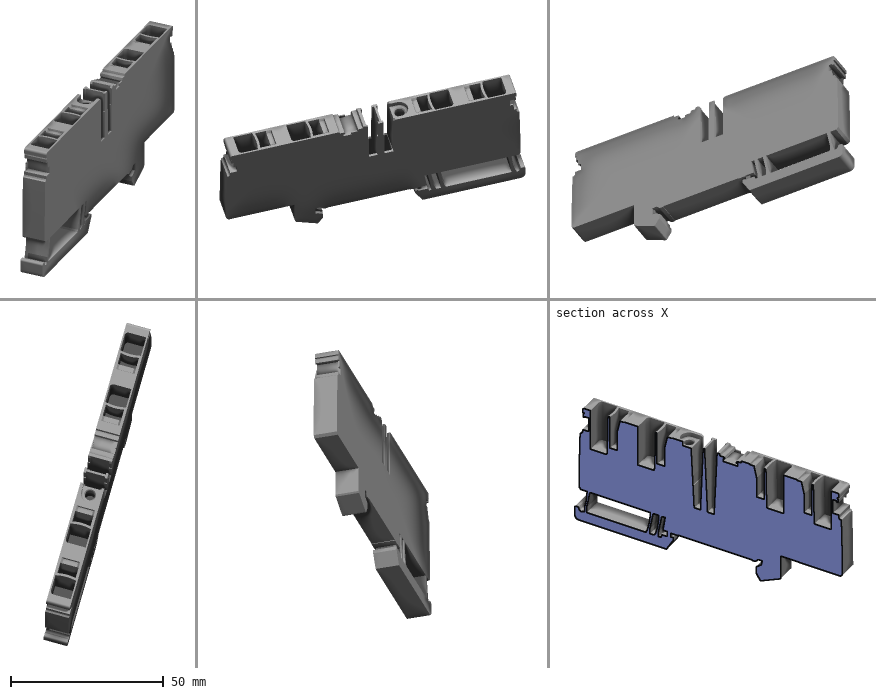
import cadquery as cq
import math


thickness = 8.0
total_length = 101.8
height = 45.2
housing_half = 50.1
foot_tip = housing_half - total_length
housing_bottom = 12.4
rail_top = 7.1
overlap = 1.0
pad_height = 0.2

neck_half = 47.5
lip_half = 48.7
corner_radius = 0.8
wall_lean = 0.4
wall_mid_lean = 0.12
wall_top = 34.9
groove_depth = 1.1
groove_bottom = 36.6
groove_step = 0.3
groove_top = 41.8
tab_thickness = 0.4

notch_center = 7.5
notch_half = 2.3
shelf_half = 4.2
shelf_depth = 0.7
notch_depth = 1.6
notch_undercut_half = 2.6
notch_undercut_depth = 2.5
notch_draft = 0.3

slot_floor = 28.9
slot_step = 38.5
slot_step_width = 0.25
slots_side = [(1.5, -1.37), (-3.71, -6.8)]
slot_core_floor = 20.4
slots_core_top = [(2.3, -2.2), (-3.0, -7.4)]
slots_core_bottom = [(1.2, -1.1), (-4.0, -6.2)]
slot_core_width = 6.4
slot_mouth = 0.6

screw_y = -10.0
seat_radius = 2.9
seat_depth = 1.6
screw_radius = 1.6
screw_chamfer = 0.36
screw_depth = 8.1

entry_pitch = 18.0
wire_outer = 45.6
wire_length = 6.4
wire_width = 7.0
wire_corner = 1.1
entry_depth = 15.3
divider_thickness = 0.8
divider_bulge = 0.4
floor_bulge = 0.05
divider_draft = 0.3
driver_length = 5.6
driver_width = 6.2
driver_floor_depth = 12.2
ledge_depth = 0.6
ledge_length = 1.8
ledge_end_slope = 0.2
ledge_side_slope = 0.6
ramp_run = 0.9
ramp_drop = 4.1

bar_top = 4.2
bar_shoulder = 5.3
web_thickness = 6.8
web_start = -15.2
web_end = -16.6
leg_roots = (-19.7, -23.0, -47.0)
leg_width = 1.2
leg_spread = 1.7
flare_width = 1.0
flare_trim_depth = 0.8
flare_top = 8.1
hook_relief = 1.0


def profile_solid(points, width=thickness, x_center=0.0):
    """Extrude a closed Y-Z outline along X."""
    plane = cq.Workplane("YZ", origin=(x_center - width / 2, 0, 0))
    return plane.polyline(points).close().extrude(width)


def block(x_range, y_range, z_range):
    """Rectangular block between the given limits."""
    limits = (x_range, y_range, z_range)
    size = [high - low for low, high in limits]
    corner = [low for low, high in limits]
    return cq.Workplane("XY").box(*size, centered=False).translate(tuple(corner))


def housing_end(side):
    """One end of the housing; side is +1 for the +Y end and -1 for the -Y end."""
    wall_top_y = housing_half - wall_lean
    wall_mid_y = housing_half - wall_mid_lean
    wall_mid_z = (housing_bottom + corner_radius + wall_top) / 2
    corner_y = lip_half - corner_radius
    corner_z = height - corner_radius
    bevel = corner_radius * math.sqrt(0.5)
    outline = (
        cq.Workplane("YZ", origin=(-thickness / 2, 0, 0))
        .moveTo(0, housing_bottom)
        .lineTo(side * (housing_half - corner_radius), housing_bottom)
        .lineTo(side * housing_half, housing_bottom + corner_radius)
        .threePointArc((side * wall_mid_y, wall_mid_z), (side * wall_top_y, wall_top))
    )
    groove_side = [
        (lip_half + 0.3, wall_top + 0.2),
        (lip_half, wall_top + 0.6),
        (lip_half, groove_bottom),
        (neck_half + groove_step, groove_bottom),
        (neck_half + groove_step, 37.9),
        (neck_half, 38.8),
        (neck_half, 41.4),
        (lip_half - 0.3, 41.4),
        (lip_half - 0.3, 42.6),
        (lip_half - 0.6, 43.2),
        (lip_half, 43.2),
        (lip_half, corner_z),
    ]
    for y, z in groove_side:
        outline = outline.lineTo(side * y, z)
    return (
        outline.threePointArc((side * (corner_y + bevel), corner_z + bevel), (side * corner_y, height))
        .lineTo(0, height)
        .close()
        .extrude(thickness)
    )


def make_rail_side():
    """Part of the housing below its bottom edge: rail seat and fixed hook."""
    pad_z = rail_top - pad_height
    outline = [
        (26.7, housing_bottom + overlap),
        (-17.4, housing_bottom + overlap),
        (-17.4, housing_bottom),
        (-18.2, rail_top),
        (web_start, rail_top),
        (web_start, pad_z),
        (-12.4, pad_z),
        (-12.4, rail_top),
        (15.7, rail_top),
        (15.7, pad_z),
        (16.9, pad_z),
        (18.0, 8.0),
        (19.4, 8.0),
        (19.1, 6.5),
        (17.1, 5.0),
        (17.1, 2.5),
        (18.7, 0.1),
        (18.9, 0.0),
        (19.3, 0.1),
        (26.3, 3.3),
        (26.7, 3.8),
    ]
    return profile_solid(outline)


def relieve_hook(body):
    """Step the hook mouth back on both side faces."""
    relief = [
        (18.0, 8.0),
        (19.7, 8.0),
        (19.7, 5.3),
        (18.9, 5.3),
        (17.1, 4.3),
        (16.3, 5.0),
    ]
    for side in (1, -1):
        x_center = side * (thickness - hook_relief) / 2
        body = body.cut(profile_solid(relief, hook_relief, x_center))
    return body


def make_leg(root_y):
    """Curved leg whose outer face starts at root_y under the housing."""
    return (
        cq.Workplane("YZ", origin=(-thickness / 2, 0, 0))
        .moveTo(root_y, housing_bottom)
        .threePointArc((root_y - 0.36, 8.8), (root_y - 1.3, 4.8))
        .lineTo(root_y - leg_spread, bar_top)
        .lineTo(root_y, bar_top)
        .lineTo(root_y, 6.1)
        .threePointArc((root_y + 0.6, 9.2), (root_y + leg_width, housing_bottom))
        .close()
        .extrude(thickness)
    )


def make_foot_bar():
    tip_radius = 0.6
    toe_radius = 1.6
    tip_bend = tip_radius * (1 - math.sqrt(0.5))
    toe_bend = toe_radius * (1 - math.sqrt(0.5))
    return (
        cq.Workplane("YZ", origin=(-thickness / 2, 0, 0))
        .moveTo(-16.8, 0)
        .lineTo(-14.1, 4.5)
        .lineTo(-14.1, 5.7)
        .lineTo(-15.0, 5.7)
        .lineTo(-15.6, bar_shoulder)
        .lineTo(-18.5, bar_shoulder)
        .lineTo(-18.9, bar_top)
        .lineTo(-48.5, bar_top)
        .threePointArc((-49.1, 3.9), (-49.8, bar_top))
        .lineTo(-50.2, bar_shoulder)
        .lineTo(foot_tip + tip_radius, bar_shoulder)
        .threePointArc(
            (foot_tip + tip_bend, bar_shoulder - tip_bend),
            (foot_tip, bar_shoulder - tip_radius),
        )
        .lineTo(foot_tip, toe_radius)
        .threePointArc((foot_tip + toe_bend, toe_bend), (foot_tip + toe_radius, 0))
        .close()
        .extrude(thickness)
    )


def make_foot():
    foot = make_foot_bar()
    for root_y in leg_roots:
        foot = foot.union(make_leg(root_y))
    flare_y = leg_roots[-1] - leg_spread
    flare_trim = block(
        (flare_width - thickness / 2, thickness),
        (flare_y, flare_y + flare_trim_depth),
        (bar_top, flare_top),
    )
    web = block(
        (-web_thickness / 2, web_thickness / 2),
        (web_end, web_start),
        (bar_shoulder - overlap, rail_top + overlap),
    )
    return foot.cut(flare_trim).union(web)


def undercut(outline, tab_side):
    """Solid that removes the outline across the thickness except for a tab at one side face."""
    return profile_solid(outline, x_center=-tab_side * tab_thickness)


def cut_end_grooves(body):
    outer = neck_half + groove_step
    inner = neck_half - groove_depth
    middle = (groove_bottom + groove_top) / 2
    upper = [(outer, groove_top), (inner, groove_top), (inner, middle), (outer, middle)]
    lower = [(outer, middle), (inner, middle), (inner, groove_bottom), (outer, groove_bottom)]
    for side in (1, -1):
        for outline, tab_side in ((upper, -side), (lower, side)):
            body = body.cut(undercut([(side * y, z) for y, z in outline], tab_side))
    return body


def cut_marker_notch(body):
    shelf_z = height - shelf_depth
    floor_z = height - notch_depth
    plus_side = [
        (notch_half - notch_draft, floor_z),
        (notch_half, shelf_z),
        (shelf_half - notch_draft, shelf_z),
        (shelf_half, height),
    ]
    minus_side = [(-y, z) for y, z in reversed(plus_side)]
    notch = [(notch_center + y, z) for y, z in plus_side + minus_side]
    body = body.cut(profile_solid(notch))
    undercut_z = height - notch_undercut_depth
    for side in (1, -1):
        end_y = notch_center + side * notch_undercut_half
        outline = [
            (notch_center, floor_z),
            (end_y, floor_z),
            (end_y, undercut_z),
            (notch_center, undercut_z),
        ]
        body = body.cut(undercut(outline, side))
    return body


def cut_slots(body):
    step = slot_step_width
    for side, top, bottom in zip(slots_side, slots_core_top, slots_core_bottom):
        body = body.cut(block((-thickness, thickness), side[::-1], (slot_floor, height)))
        core = [
            (top[0], height),
            (bottom[0], slot_core_floor),
            (bottom[1], slot_core_floor),
            (top[1], height),
        ]
        body = body.cut(profile_solid(core, slot_core_width))
    first, second = slots_side
    widened = [
        (first[1] - step, first[0] + step),
        (second[0], second[0] + step),
    ]
    for y_range in widened:
        body = body.cut(block((-thickness, thickness), y_range, (slot_step, height)))
    for wall, away in ((first[0] + step, 1), (second[1], -1)):
        mouth = [
            (wall, height),
            (wall + away * slot_mouth, height),
            (wall, height - slot_mouth),
        ]
        body = body.cut(profile_solid(mouth))
    return body


def cut_screw_seat(body):
    seat_z = height - seat_depth
    slot_wall = slots_side[1][1]
    seat = cq.Workplane("XY", origin=(0, screw_y, seat_z)).circle(seat_radius).extrude(seat_depth)
    mouth = block((-seat_radius, seat_radius), (screw_y, slot_wall), (seat_z, height))
    bore = (
        cq.Workplane("XY", origin=(0, screw_y, seat_z))
        .circle(screw_radius)
        .extrude(-screw_depth)
    )
    bevel = (
        cq.Workplane("XY", origin=(0, screw_y, seat_z))
        .circle(screw_radius + screw_chamfer)
        .workplane(offset=-screw_chamfer)
        .circle(screw_radius)
        .loft()
    )
    return body.cut(seat).cut(mouth).cut(bore).cut(bevel)


def wire_outline(plane, outer, inner, bulge, side):
    """Square with one rounded corner and an inner side bulging towards the middle."""
    half = wire_width / 2
    return (
        plane.moveTo(half, side * outer)
        .lineTo(half, side * inner)
        .threePointArc((0, side * (inner - bulge)), (-half, side * inner))
        .lineTo(-half, side * (outer - wire_corner))
        .radiusArc((-half + wire_corner, side * outer), side * wire_corner)
        .close()
    )


def wire_opening(outer, side):
    """Wire entry whose curved inner wall leans outwards with depth."""
    inner = outer - wire_length
    floor_plane = cq.Workplane("XY", origin=(0, 0, height - entry_depth))
    lower = wire_outline(floor_plane, outer, inner + divider_draft, floor_bulge, side)
    upper = wire_outline(lower.workplane(offset=entry_depth), outer, inner, divider_bulge, side)
    return upper.loft(ruled=True)


def driver_opening(outer, side):
    """Screwdriver entry with a sunken ledge and a ramp at the end facing the middle."""
    half = driver_width / 2
    inner = outer - driver_length
    ledge_y = inner + ledge_length
    ledge_z = height - ledge_depth
    ramp_y = ledge_y + ramp_run
    floor_z = height - driver_floor_depth
    plan = (
        cq.Workplane("XY", origin=(0, 0, height))
        .moveTo(half, side * ledge_y)
        .lineTo(half, side * outer)
        .threePointArc((0, side * (outer - divider_bulge)), (-half, side * outer))
        .lineTo(-half, side * ledge_y)
        .close()
        .extrude(-driver_floor_depth)
    )
    ramp = [(ledge_y, ledge_z), (ramp_y, ledge_z - ramp_drop), (ramp_y, floor_z), (ledge_y, floor_z)]
    shaft = plan.cut(profile_solid([(side * y, z) for y, z in ramp]))
    ledge_half = half - ledge_side_slope
    ledge_floor = [
        (ledge_half, side * (inner + ledge_end_slope)),
        (ledge_half, side * ledge_y),
        (-ledge_half, side * ledge_y),
        (-ledge_half, side * (inner + ledge_end_slope)),
    ]
    ledge_rim = [
        (half, side * inner),
        (half, side * ledge_y),
        (-half, side * ledge_y),
        (-half, side * inner),
    ]
    ledge = (
        cq.Workplane("XY", origin=(0, 0, ledge_z))
        .polyline(ledge_floor)
        .close()
        .workplane(offset=ledge_depth)
        .polyline(ledge_rim)
        .close()
        .loft(ruled=True)
    )
    return shaft.union(ledge)


def cut_entries(body):
    for side in (1, -1):
        for index in range(2):
            outer = wire_outer - index * entry_pitch
            body = body.cut(wire_opening(outer, side))
            body = body.cut(driver_opening(outer - wire_length - divider_thickness, side))
    return body


result = housing_end(1).union(housing_end(-1))
result = relieve_hook(result.union(make_rail_side())).union(make_foot())
result = cut_end_grooves(result)
result = cut_marker_notch(result)
result = cut_slots(result)
result = cut_screw_seat(result)
result = cut_entries(result)